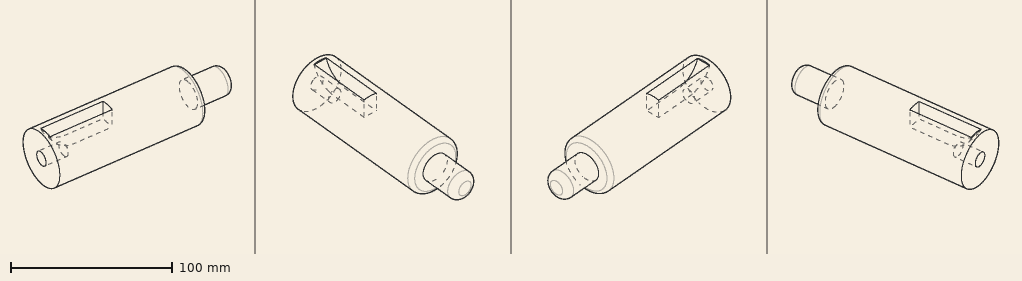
import cadquery as cq
import math

total_length = 139.0
body_diameter = 40.0
pin_diameter = body_diameter / 2
pin_length = 28.0
body_length = total_length - pin_length
pin_tip_radius = 4.9
shoulder_radius = 3.0

hole_diameter = 10.1
hole_depth = 16.7
drill_point_angle = 118.0

slot_width = 10.0
slot_start = 3.0
slot_end = 50.0
slot_depth = 14.5
floor_arc_start = 22.0
floor_arc_radius = 20.0


def make_cylinder(diameter, start, length, end_radius):
    """Cylinder along +Y with its far edge rounded."""
    cylinder = cq.Workplane("XZ", origin=(0, start, 0)).circle(diameter / 2).extrude(-length)
    return cylinder.faces(">Y").edges().fillet(end_radius)


def make_hole():
    """Drilled hole with a conical bottom."""
    radius = hole_diameter / 2
    tip_depth = hole_depth + radius / math.tan(math.radians(drill_point_angle / 2))
    half_profile = (
        cq.Workplane("XY")
        .polyline([(0, 0), (radius, 0), (radius, hole_depth), (0, tip_depth)])
        .close()
    )
    return half_profile.revolve(360, (0, 0), (0, 1))


def make_slot():
    """Side profile of the slot, extruded across its width."""
    slot_top = body_diameter / 2
    floor_height = slot_top - slot_depth
    arc_center_height = floor_height + floor_arc_radius

    arc_end_angle = math.asin((floor_arc_start - slot_start) / floor_arc_radius)

    def floor_arc_point(angle):
        return (
            floor_arc_start - floor_arc_radius * math.sin(angle),
            arc_center_height - floor_arc_radius * math.cos(angle),
        )

    return (
        cq.Workplane("YZ")
        .moveTo(slot_end, slot_top)
        .lineTo(slot_end, floor_height)
        .lineTo(floor_arc_start, floor_height)
        .threePointArc(floor_arc_point(arc_end_angle / 2), floor_arc_point(arc_end_angle))
        .lineTo(slot_start, slot_top)
        .close()
        .extrude(slot_width / 2, both=True)
    )


body = make_cylinder(body_diameter, 0, body_length, shoulder_radius)
pin = make_cylinder(pin_diameter, body_length, pin_length, pin_tip_radius)
result = body.union(pin).cut(make_slot()).cut(make_hole())